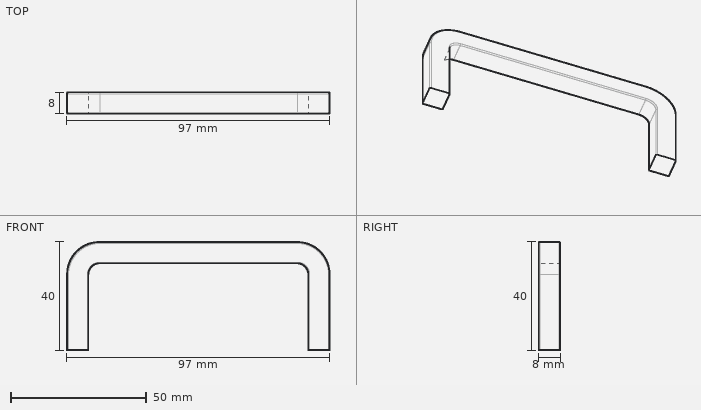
import cadquery as cq

length = 97.0
height = 40.0
bar_size = 8.0

outer_bend_radius = 12.0
inner_bend_radius = outer_bend_radius - bar_size
edge_radius = 0.5


def arch(span, rise, bend_radius):
    """Solid block standing on Z = 0 with its two upper corners rounded."""
    block = cq.Workplane("XY").box(span, bar_size, rise, centered=(True, True, False))
    return block.edges("|Y and >Z").fillet(bend_radius)


outer_arch = arch(length, height, outer_bend_radius)
inner_arch = arch(length - 2 * bar_size, height - bar_size, inner_bend_radius)
handle = outer_arch.cut(inner_arch)

long_edges = handle.faces("<Y or >Y").edges("not(<Z)")
result = long_edges.fillet(edge_radius)